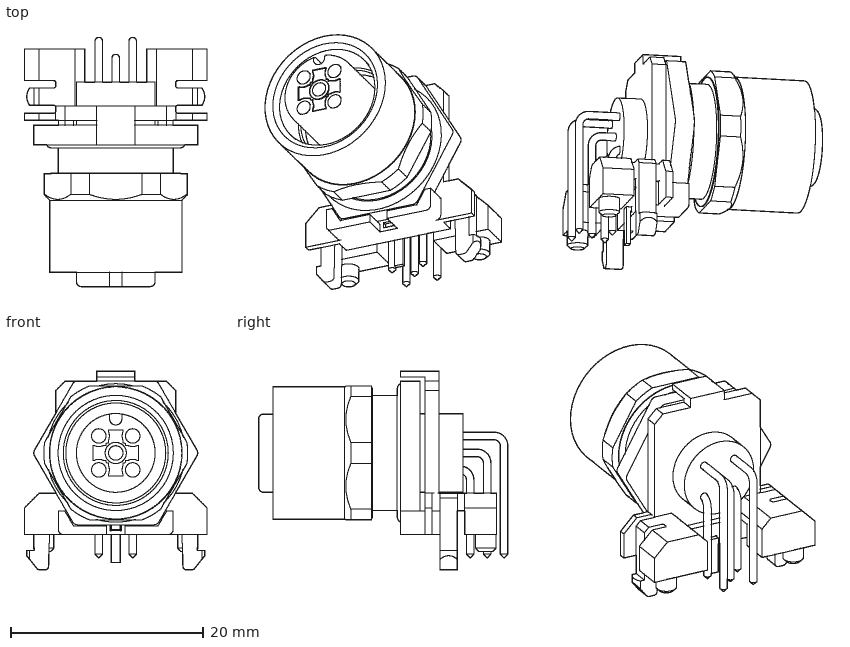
import cadquery as cq
import math

LENGTH = 25.95

INSERT_D = 8.2
INSERT_BACK = 21.3
INSERT_ROUND = 0.52
KEY_WIDTH = 1.27
KEY_BOTTOM_Z = 2.9
KEY_END_Y = 5.97
CONTACT_PITCH = 1.77
CONTACT_HOLE_D = 1.5
CONTACT_HOLE_DEPTH = 2.08
COLLAR_D = 2.2
CROSS_REACH = 2.4
CROSS_ARM = 1.55
CROSS_CORE = 2.08
CROSS_DEPTH = 0.13

BARREL_D = 13.8
BARREL_FRONT = 1.5
MOUTH_D = 12.0
MOUTH_DEPTH = 0.52
BORE_D = 10.93
SEAL_BORE_D = 10.4
SEAL_BORE_Y = 6.75
CAVITY_FLOOR_Y = 8.05
SEAL_CENTER_R = (SEAL_BORE_D + INSERT_D) / 4
SEAL_CREST_Y = CAVITY_FLOOR_Y - (SEAL_BORE_D - INSERT_D) / 4
NUT_FRONT = 8.95
NUT_BACK = 11.75
NUT_FLATS = 13.95
NUT_CORNER_D = 14.98
NUT_CHAMFER = 0.65
NUT_RIM_D = 13.5
NUT_RIM = 0.08
BODY_D = 12.0

FLANGE_FRONT = 14.77
FLANGE_BACK = 16.82
FLANGE_FLATS = 14.95
FLANGE_CORNER_R = 0.62
RING_SECTION_R = 0.6
RING_CENTER_R = 6.67
RING_CENTER_Y = 15.03

PLATE_FRONT = 17.32
PLATE_BACK = 18.8
PLATE_WIDTH = 12.5
PLATE_TOP = 7.48
PLATE_CHAMFER = 0.99
LIP_WIDTH = 4.0
LIP_TOP = 8.51
LIP_THICKNESS = 0.62

BOARD_Z = -8.5
BRIDGE_BOTTOM_Z = -6.02
FOOT_TOP_Z = -4.18
FOOT_INNER_X = 3.22
FOOT_OUTER_X = 9.5
FOOT_BACK = 24.77
FOOT_INNER_CHAMFER = 1.05
FOOT_OUTER_CHAMFER = 1.53
WING_BACK = 18.07
CLIP_FRONT = 18.87
CLIP_BACK = 20.7
REAR_FRONT = 21.45
SLOT_END_X = PLATE_WIDTH / 2
SLOT_END_ROUND = 0.2

CLIP_OUTER_X = 8.5
CLIP_INNER_X = 6.8
CLIP_TOE_INNER_X = 6.98
CLIP_TOP_CHAMFER = 0.52
CLIP_BOTTOM_Z = -12.18
HOOK_REACH_X = 9.27
HOOK_TOP_Z = -10.15
HOOK_EDGE_Z = -10.7
HOOK_TOE_X = 8.1
HOOK_SAG = 0.3
CLIP_TOE_ROUND = 0.4

PEG_X = 7.5
PEG_D = 2.15
PEG_BOTTOM_Z = -10.28
PEG_CHAMFER = 0.36
PEG_Y = 23.65

CRADLE_FRONT = FLANGE_FRONT
CRADLE_BACK = 19.73
CRADLE_WIDTH = 11.95
CRADLE_GAP = 0.13
CRADLE_ROUND = 0.52
NOTCH_WIDTH = 1.97
NOTCH_TOP_Z = -7.5
WINDOW_WIDTH = 1.2
WINDOW_HEIGHT = 0.57

SHIELD_WIDTH = 0.99
SHIELD_THICKNESS = 0.47
SHIELD_FRONT = 17.65
SHIELD_BACK = 20.25
SHIELD_BOTTOM_Z = -11.42

PIN_D = 0.8
PIN_BEND_R = 1.05
PIN_TIP_Z = -10.95
PIN_TIP = 0.42
PIN_ROOT_Y = INSERT_BACK - 1.05

OVERLAP = 0.13


def box(x0, x1, y0, y1, z0, z1):
    return cq.Workplane("XY").box(x1 - x0, y1 - y0, z1 - z0, centered=False).translate((x0, y0, z0))


def centered_box(width, y0, y1, z0, z1):
    return box(-width / 2, width / 2, y0, y1, z0, z1)


def section(y):
    """Sketch plane across the plug axis at y, with local axes X and Z."""
    return cq.Workplane("XZ", origin=(0, y, 0))


def rod(diameter, y0, y1, x=0, z=0):
    return section(y0).center(x, z).circle(diameter / 2).extrude(y0 - y1)


def hexagon(flats, y0, y1):
    """Hexagonal prism with flats at top and bottom."""
    return section(y0).polygon(6, flats / math.cos(math.pi / 6)).extrude(y0 - y1)


def torus(center_radius, section_radius, y):
    return cq.Workplane(cq.Solid.makeTorus(
        center_radius, section_radius, cq.Vector(0, y, 0), cq.Vector(0, 1, 0)))


def mirrored(half):
    return half.union(half.mirror("YZ"))



def contact_places():
    p = CONTACT_PITCH
    return [(-p, p), (p, p), (-p, -p), (p, -p)]


def face_cross():
    """Shallow cross-shaped recess between the contacts of the mating face."""
    bars = [(2 * CROSS_REACH, CROSS_ARM), (CROSS_ARM, 2 * CROSS_REACH), (CROSS_CORE, CROSS_CORE)]
    cross = cq.Workplane("XY")
    for width, height in bars:
        cross = cross.union(centered_box(width, 0, CROSS_DEPTH, -height / 2, height / 2))
    for x, z in contact_places() + [(0, 0)]:
        cross = cross.cut(rod(COLLAR_D, 0, CROSS_DEPTH, x, z))
    return cross


def keyway():
    """Round-bottomed groove along the top of the insert with a ball-shaped end."""
    radius = KEY_WIDTH / 2
    center_z = KEY_BOTTOM_Z + radius
    rim_z = INSERT_D / 2 + OVERLAP
    groove = rod(KEY_WIDTH, 0, KEY_END_Y, 0, center_z)
    groove = groove.union(centered_box(KEY_WIDTH, 0, KEY_END_Y, center_z, rim_z))
    end = cq.Workplane("XY", origin=(0, KEY_END_Y, center_z))
    return groove.union(end.sphere(radius)).union(end.circle(radius).extrude(rim_z - center_z))


def insert():
    core = rod(INSERT_D, 0, INSERT_BACK).faces("<Y").edges().fillet(INSERT_ROUND)
    core = core.cut(face_cross())
    for x, z in contact_places() + [(0, 0)]:
        core = core.cut(rod(CONTACT_HOLE_D, 0, CONTACT_HOLE_DEPTH, x, z))
    return core.cut(keyway())


def nut():
    """Hexagon with turned corners, chamfered towards the barrel."""
    turned = rod(NUT_CORNER_D, NUT_FRONT, NUT_BACK).faces("<Y").edges().chamfer(NUT_CHAMFER)
    rim = rod(NUT_RIM_D, NUT_BACK, NUT_BACK + NUT_RIM)
    return hexagon(NUT_FLATS, NUT_FRONT, NUT_BACK).intersect(turned).union(rim)


def cavity():
    """Stepped bore around the insert with a conical mouth; its floor bulges as a sealing ring."""
    return (
        cq.Workplane("XY")
        .moveTo(0, BARREL_FRONT)
        .lineTo(MOUTH_D / 2, BARREL_FRONT)
        .lineTo(BORE_D / 2, BARREL_FRONT + MOUTH_DEPTH)
        .lineTo(BORE_D / 2, SEAL_BORE_Y)
        .lineTo(SEAL_BORE_D / 2, SEAL_BORE_Y)
        .lineTo(SEAL_BORE_D / 2, CAVITY_FLOOR_Y)
        .threePointArc((SEAL_CENTER_R, SEAL_CREST_Y), (INSERT_D / 2, CAVITY_FLOOR_Y))
        .lineTo(0, CAVITY_FLOOR_Y)
        .close()
        .revolve(360, (0, 0, 0), (0, 1, 0))
    )


def connector():
    shell = rod(BARREL_D, BARREL_FRONT, NUT_FRONT).union(nut())
    shell = shell.union(rod(BODY_D, NUT_BACK, FLANGE_BACK))
    flange = hexagon(FLANGE_FLATS, FLANGE_FRONT, FLANGE_BACK)
    shell = shell.union(flange.edges("|Y").fillet(FLANGE_CORNER_R))
    shell = shell.union(torus(RING_CENTER_R, RING_SECTION_R, RING_CENTER_Y))
    return shell.cut(cavity()).union(insert())



def plate():
    upright = centered_box(PLATE_WIDTH, PLATE_FRONT, PLATE_BACK, BRIDGE_BOTTOM_Z, PLATE_TOP)
    upright = upright.edges("|Y and >Z").chamfer(PLATE_CHAMFER)
    stem = centered_box(LIP_WIDTH, PLATE_FRONT, PLATE_BACK, PLATE_TOP - OVERLAP, LIP_TOP)
    lip = centered_box(LIP_WIDTH, FLANGE_FRONT, PLATE_BACK, LIP_TOP - LIP_THICKNESS, LIP_TOP)
    return upright.union(stem).union(lip)


def cradle():
    """Block that holds the lower flange corner, with a window for the shield leg."""
    block = centered_box(CRADLE_WIDTH, CRADLE_FRONT, PLATE_FRONT, BOARD_Z, BRIDGE_BOTTOM_Z)
    block = block.edges("|Y and <Z").fillet(CRADLE_ROUND)
    block = block.union(centered_box(CRADLE_WIDTH, PLATE_FRONT, CRADLE_BACK, BOARD_Z, BRIDGE_BOTTOM_Z))
    block = block.cut(hexagon(FLANGE_FLATS + 2 * CRADLE_GAP, CRADLE_FRONT, PLATE_FRONT))
    block = block.cut(centered_box(NOTCH_WIDTH, CRADLE_FRONT, PLATE_FRONT, BOARD_Z, NOTCH_TOP_Z))
    window_bottom = NOTCH_TOP_Z - WINDOW_HEIGHT
    return block.cut(centered_box(WINDOW_WIDTH, PLATE_FRONT, CRADLE_BACK, window_bottom, NOTCH_TOP_Z))


def shield_leg():
    """Strip through the cradle window, bent down behind the cradle."""
    strip_bottom = NOTCH_TOP_Z - SHIELD_THICKNESS
    strip = centered_box(SHIELD_WIDTH, SHIELD_FRONT, SHIELD_BACK, strip_bottom, NOTCH_TOP_Z)
    leg_front = SHIELD_BACK - SHIELD_THICKNESS
    return strip.union(centered_box(SHIELD_WIDTH, leg_front, SHIELD_BACK, SHIELD_BOTTOM_Z, NOTCH_TOP_Z))


def foot_block():
    """Rear block, bridge and front wing on the +X side, separated by two slots."""
    profile = [
        (FOOT_INNER_X, BOARD_Z),
        (FOOT_OUTER_X, BOARD_Z),
        (FOOT_OUTER_X, FOOT_TOP_Z - FOOT_OUTER_CHAMFER),
        (FOOT_OUTER_X - FOOT_OUTER_CHAMFER, FOOT_TOP_Z),
        (FOOT_INNER_X + FOOT_INNER_CHAMFER, FOOT_TOP_Z),
        (FOOT_INNER_X, FOOT_TOP_Z - FOOT_INNER_CHAMFER),
    ]
    block = section(PLATE_FRONT).polyline(profile).close().extrude(PLATE_FRONT - FOOT_BACK)
    far_x = FOOT_OUTER_X + OVERLAP
    for front, back in [(WING_BACK, CLIP_FRONT), (CLIP_BACK, REAR_FRONT)]:
        slot = box(SLOT_END_X, far_x, front, back, BOARD_Z, FOOT_TOP_Z)
        block = block.cut(slot.edges("|Z and <X").fillet(SLOT_END_ROUND))
    block = block.cut(box(0, far_x, WING_BACK, REAR_FRONT, BOARD_Z, BRIDGE_BOTTOM_Z))
    return block.cut(box(CLIP_OUTER_X, far_x, CLIP_FRONT, CLIP_BACK, BRIDGE_BOTTOM_Z, FOOT_TOP_Z))


def clip_leg():
    """Snap leg on the +X side with an outward hook whose tip is rounded in plan."""
    top_z = FOOT_TOP_Z
    profile = [
        (CLIP_INNER_X, top_z),
        (CLIP_OUTER_X - CLIP_TOP_CHAMFER, top_z),
        (CLIP_OUTER_X, top_z - CLIP_TOP_CHAMFER),
        (CLIP_OUTER_X, HOOK_TOP_Z),
        (HOOK_REACH_X, HOOK_TOP_Z),
        (HOOK_REACH_X, HOOK_EDGE_Z),
        (HOOK_TOE_X, CLIP_BOTTOM_Z),
        (CLIP_TOE_INNER_X, CLIP_BOTTOM_Z),
    ]
    leg = section(CLIP_FRONT).polyline(profile).close().extrude(CLIP_FRONT - CLIP_BACK)
    leg = leg.edges("|Y and <Z").fillet(CLIP_TOE_ROUND)
    shoulder_x = HOOK_REACH_X - HOOK_SAG
    plan = (
        cq.Workplane("XY", origin=(0, 0, CLIP_BOTTOM_Z))
        .moveTo(CLIP_INNER_X, CLIP_FRONT)
        .lineTo(shoulder_x, CLIP_FRONT)
        .threePointArc((HOOK_REACH_X, (CLIP_FRONT + CLIP_BACK) / 2), (shoulder_x, CLIP_BACK))
        .lineTo(CLIP_INNER_X, CLIP_BACK)
        .close()
        .extrude(top_z - CLIP_BOTTOM_Z)
    )
    return leg.intersect(plan)


def foot():
    bevel = CLIP_TOP_CHAMFER
    bridge_end = (
        section(CLIP_FRONT)
        .polyline([
            (CLIP_OUTER_X - bevel, FOOT_TOP_Z),
            (CLIP_OUTER_X, FOOT_TOP_Z),
            (CLIP_OUTER_X, FOOT_TOP_Z - bevel),
        ])
        .close()
        .extrude(CLIP_FRONT - CLIP_BACK)
    )
    return foot_block().cut(bridge_end).union(clip_leg())


def peg():
    height = BOARD_Z - PEG_BOTTOM_Z
    pin = cq.Workplane("XY", origin=(PEG_X, PEG_Y, PEG_BOTTOM_Z)).circle(PEG_D / 2).extrude(height + OVERLAP)
    return pin.faces("<Z").edges().chamfer(PEG_CHAMFER)



def contact_pin(x, z):
    """Bent wire: higher pins turn down further back, keeping the contact pitch between rows."""
    last_row_y = LENGTH - PIN_D / 2
    y = last_row_y - (CONTACT_PITCH - z)
    bend_y = y - PIN_BEND_R
    bend_z = z - PIN_BEND_R
    half_chord = PIN_BEND_R * math.sin(math.pi / 4)
    path = (
        cq.Workplane("YZ", origin=(x, 0, 0))
        .moveTo(PIN_ROOT_Y, z)
        .lineTo(bend_y, z)
        .threePointArc((bend_y + half_chord, bend_z + half_chord), (y, bend_z))
        .lineTo(y, PIN_TIP_Z + PIN_TIP)
    )
    wire = section(PIN_ROOT_Y).center(x, z).circle(PIN_D / 2).sweep(path)
    tip = cq.Workplane(cq.Solid.makeCone(
        PIN_D / 2, 0, PIN_TIP, cq.Vector(x, y, PIN_TIP_Z + PIN_TIP), cq.Vector(0, 0, -1)))
    return wire.union(tip)


result = connector().union(plate()).union(cradle()).union(shield_leg())
result = result.union(mirrored(foot().union(peg())))
for pin_x, pin_z in contact_places() + [(0, 0)]:
    result = result.union(contact_pin(pin_x, pin_z))